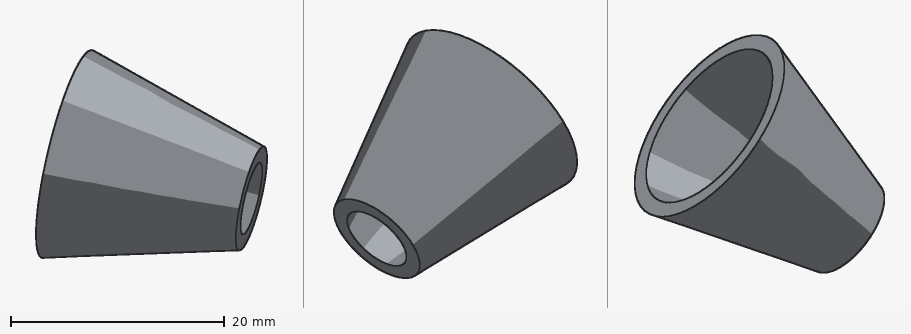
import cadquery as cq
import math

length = 18.0
large_radius = 10.0
small_radius = 5.0
wall_thickness = 1.5

half_angle = math.atan((large_radius - small_radius) / length)
radial_wall = wall_thickness / math.cos(half_angle)

wall_section = (
    cq.Workplane("XZ")
    .moveTo(0, large_radius)
    .lineTo(length, small_radius)
    .lineTo(length, small_radius - radial_wall)
    .lineTo(0, large_radius - radial_wall)
    .close()
)

result = wall_section.revolve(360, (0, 0, 0), (1, 0, 0))